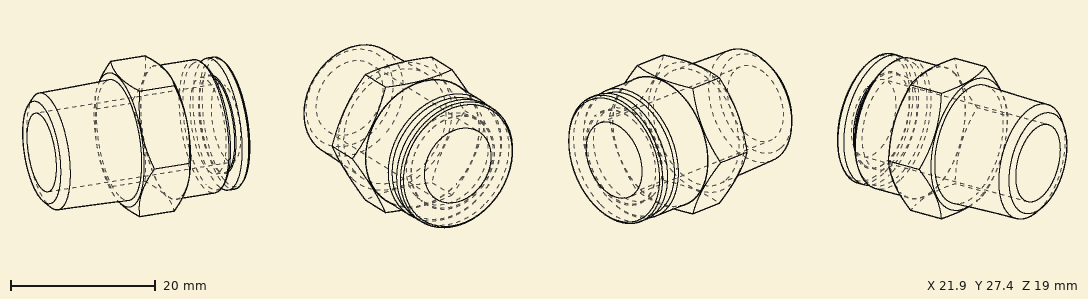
import cadquery as cq
import math


thread_length = 11.5
hex_end = 18.45
body_end = 24.52
neck_start = 24.75
neck_end = 26.0
collar_start = 26.15
total_length = 27.4

bore_radius = 5.5
thread_tip_radius = 8.2
thread_root_radius = 8.47
body_radius = 9.35
neck_radius = 6.77
collar_radius = 9.25
collar_cone_radius = 6.9
body_cone_radius = 8.17
hex_across_flats = 19.0

thread_chamfer = 1.01
body_chamfer = 0.38
collar_chamfer = 0.3
hex_face_radius = 9.4
hex_chamfer_angle = 30.0


def revolve_about_y(points):
    """Revolve a closed (radius, Y) outline about the Y axis."""
    return cq.Workplane("XY").polyline(points).close().revolve(360, (0, 0, 0), (0, 1, 0))


def make_turned_body():
    """Tapered thread, cylindrical body, neck and release collar, with the bore.

    Short cones join the neck to the flat faces on either side of it.
    """
    return revolve_about_y([
        (bore_radius, 0),
        (thread_tip_radius - thread_chamfer, 0),
        (thread_tip_radius, thread_chamfer),
        (thread_root_radius, thread_length),
        (body_radius, thread_length),
        (body_radius, body_end - body_chamfer),
        (body_radius - body_chamfer, body_end),
        (body_cone_radius, body_end),
        (neck_radius, neck_start),
        (neck_radius, neck_end),
        (collar_cone_radius, collar_start),
        (collar_radius, collar_start),
        (collar_radius, total_length - collar_chamfer),
        (collar_radius - collar_chamfer, total_length),
        (bore_radius, total_length),
    ])


def make_hex():
    """Hexagon with corners on the X axis, coned at both ends, hollowed by the bore."""
    corner_radius = hex_across_flats / math.sqrt(3)
    hex_length = hex_end - thread_length
    prism = (
        cq.Workplane("XZ", origin=(0, thread_length, 0))
        .polygon(6, 2 * corner_radius)
        .extrude(-hex_length)
    )
    cone_length = (corner_radius - hex_face_radius) * math.tan(math.radians(hex_chamfer_angle))
    coned_envelope = revolve_about_y([
        (bore_radius, thread_length),
        (hex_face_radius, thread_length),
        (corner_radius, thread_length + cone_length),
        (corner_radius, hex_end - cone_length),
        (hex_face_radius, hex_end),
        (bore_radius, hex_end),
    ])
    return prism.intersect(coned_envelope)


result = make_turned_body().union(make_hex())